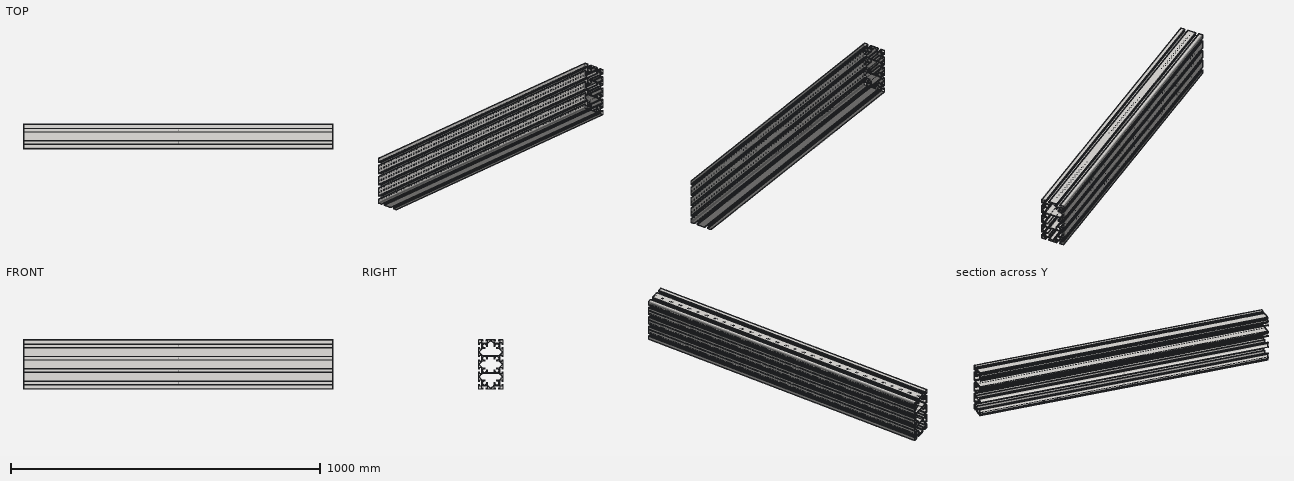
import cadquery as cq

length = 1000.0
module = 40.0
width = 2 * module
height = 4 * module
corner_radius = 2.0

mouth_half = 5.15
rebate_width = 0.95
rebate_depth = 1.0
lip_thickness = 4.0
chamber_half = 9.4
slot_depth = 10.8
slot_floor_half = 6.9

bore_radius = 6.2
hub_opening = 1.95

face_wall = 3.8
face_flat_half = 1.9
web_thickness = 3.2

half_width = width / 2
half_height = height / 2
bore_y = module / 2
inner_bore_z = module / 2
outer_bore_z = inner_bore_z + module
hub_half = module / 2 - slot_depth
web_top = inner_bore_z + hub_half
web_bottom = web_top - web_thickness
hub_inner_y = bore_y - hub_half
opening_y = bore_y - hub_opening


def mirrored(half):
    """Closed outline made of a half outline and its mirror image across the second axis."""
    return half + [(-across, along) for across, along in reversed(half)]


def prism(points):
    """Polygon in the YZ plane, swept over the whole length."""
    return cq.Workplane("YZ").polyline(points).close().extrude(length / 2, both=True)


def body():
    """Solid bar with rounded long edges."""
    block = cq.Workplane("YZ").rect(width, height).extrude(length / 2, both=True)
    return block.edges("|X").fillet(corner_radius)


def slot(y, z, angle):
    """T-slot whose mouth is centred at (y, z); at angle 0 it opens toward +Z."""
    taper_start = slot_depth - (chamber_half - slot_floor_half)
    half = [
        (mouth_half + rebate_width, 0),
        (mouth_half + rebate_width, -rebate_depth),
        (mouth_half, -rebate_depth),
        (mouth_half, -lip_thickness),
        (chamber_half, -lip_thickness),
        (chamber_half, -taper_start),
        (slot_floor_half, -slot_depth),
    ]
    return prism(mirrored(half)).rotate((0, 0, 0), (1, 0, 0), angle).translate((0, y, z))


def bores():
    """Round channels, one behind each slot crossing."""
    points = [(y, z) for y in bore_ys for z in bore_zs]
    return cq.Workplane("YZ").pushPoints(points).circle(bore_radius).extrude(length / 2, both=True)


def hub_notch(bore_z):
    """Outline of a hub's open corner, from its inner side round to its lower side."""
    opening_z = bore_z - hub_opening
    return [
        (hub_inner_y, opening_z),
        (opening_y, opening_z),
        (opening_y, bore_z - hub_half),
    ]


def side_recess(z_middle, z_upper, z_lower):
    """Cell outline behind a side face: 45 degree flanks around a flat centred on z_middle."""
    flat_y = half_width - face_wall
    upper_run = z_upper - z_middle - face_flat_half
    lower_run = z_middle - z_lower - face_flat_half
    return [
        (flat_y - upper_run, z_upper),
        (flat_y, z_middle + face_flat_half),
        (flat_y, z_middle - face_flat_half),
        (flat_y - lower_run, z_lower),
    ]


def end_cell():
    """Hollow between the upper web and the top face."""
    roof_z = half_height - face_wall
    roof = [
        (face_flat_half, roof_z),
        (hub_inner_y, roof_z - (hub_inner_y - face_flat_half)),
    ]
    side = side_recess(module, outer_bore_z - hub_half, web_top)
    return prism(mirrored(roof + hub_notch(outer_bore_z) + side))


def middle_cell():
    """Hollow between the two webs."""
    upper = [(hub_inner_y, web_bottom)] + hub_notch(inner_bore_z)
    lower = [(y, -z) for y, z in reversed(upper)]
    hub_bottom = inner_bore_z - hub_half
    return prism(mirrored(upper + side_recess(0, hub_bottom, -hub_bottom) + lower))


bore_ys = [-bore_y, bore_y]
bore_zs = [-outer_bore_z, -inner_bore_z, inner_bore_z, outer_bore_z]

cutters = [bores(), middle_cell(), end_cell(), end_cell().mirror("XY")]
for slot_y in bore_ys:
    cutters += [slot(slot_y, half_height, 0), slot(slot_y, -half_height, 180)]
for slot_z in bore_zs:
    cutters += [slot(half_width, slot_z, -90), slot(-half_width, slot_z, 90)]

tools = [solid for cutter in cutters for solid in cutter.vals()]
cut_bar = body().val().cut(*tools)
result = cq.Workplane(cut_bar.Solids()[0])